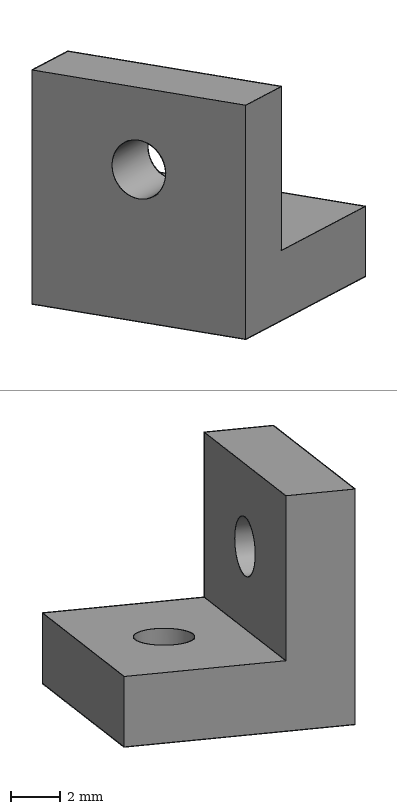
import cadquery as cq

side = 10.0
thickness = 3.0
hole_diameter = 2.5

hole_offset = (side + thickness) / 2


def leg_hole(plane, direction):
    """Cylinder along one axis, at mid width and hole_offset from the corner."""
    centre_x = side / 2
    return (
        cq.Workplane(plane)
        .center(centre_x, hole_offset)
        .circle(hole_diameter / 2)
        .extrude(direction * thickness)
    )


base = cq.Workplane("XY").box(side, side, thickness, centered=False)
wall = cq.Workplane("XY").box(side, thickness, side, centered=False)
bracket = base.union(wall)

base_hole = leg_hole("XY", 1)
wall_hole = leg_hole("XZ", -1)

result = bracket.cut(base_hole).cut(wall_hole)